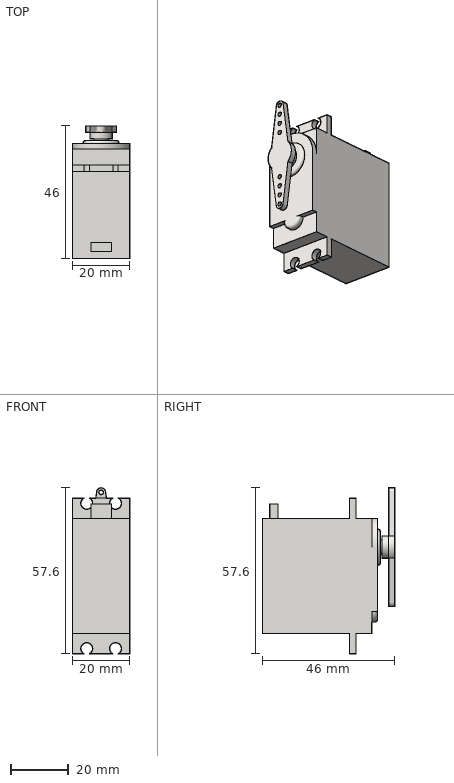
import cadquery as cq
import math


CASE_WIDTH = 20.0
CASE_DEPTH = 38.0
CASE_HEIGHT = 40.0

EAR_LENGTH = 7.0
EAR_BACK_Y = 30.2
EAR_THICKNESS = 2.3
EAR_HOLE_DIAMETER = 4.02
EAR_HOLE_SPACING = 10.0
EAR_HOLE_INSET = 1.8

CABLE_WIDTH = 7.2
CABLE_BACK_Y = 2.5
CABLE_THICKNESS = 3.0
CABLE_HEIGHT = 5.0

COVER_RADIUS = CASE_WIDTH / 2
COVER_THICKNESS = 2.0
COVER_BOTTOM_Z = 7.6
SHAFT_Z = CASE_HEIGHT - COVER_RADIUS

LOBE_DIAMETER = 7.6
LOBE_Z = 7.8
LOBE_FILLET = 1.0

COLLAR_DIAMETER = 12.6
COLLAR_HEIGHT = 1.0
SHAFT_DIAMETER = 5.0
SHAFT_GAP = 0.5

HUB_DIAMETER = 7.76
HUB_HEIGHT = 2.3
DISC_DIAMETER = 10.8
ARM_THICKNESS = 2.2
ARM_ROOT_HALF_WIDTH = 3.8
ARM_ROOT_Z = math.sqrt((DISC_DIAMETER / 2) ** 2 - ARM_ROOT_HALF_WIDTH**2)
TIP_RADIUS = 1.6
TIP_HOLE_OFFSET = 19.0
HORN_HOLE_DIAMETER = 1.5
HORN_HOLE_PITCH = 3.5
HORN_HOLES_PER_ARM = 4

COVER_FRONT_Y = CASE_DEPTH + COVER_THICKNESS
COLLAR_FRONT_Y = COVER_FRONT_Y + COLLAR_HEIGHT
SHAFT_END_Y = COLLAR_FRONT_Y + SHAFT_GAP
ARM_BACK_Y = SHAFT_END_Y + HUB_HEIGHT


def front_plane(y, z):
    """Sketch plane facing +Y, centred on x = 0; its local axes are -X and Z."""
    return cq.Workplane(cq.Plane(origin=(0, y, z), xDir=(-1, 0, 0), normal=(0, 1, 0)))


def disc(y, z, diameter, height):
    """Cylinder rising along +Y."""
    return front_plane(y, z).circle(diameter / 2).extrude(height)


def make_ears():
    """Plate forming both mounting ears, with four holes that break out of its ends."""
    plate_height = CASE_HEIGHT + 2 * EAR_LENGTH
    plane = front_plane(EAR_BACK_Y, CASE_HEIGHT / 2)
    plate = plane.rect(CASE_WIDTH, plate_height).extrude(EAR_THICKNESS)
    hole_spacing_z = plate_height - 2 * EAR_HOLE_INSET
    holes = (
        plane.rect(EAR_HOLE_SPACING, hole_spacing_z, forConstruction=True)
        .vertices()
        .circle(EAR_HOLE_DIAMETER / 2)
        .extrude(EAR_THICKNESS)
    )
    return plate.cut(holes)


def make_gear_cover():
    """Raised cover with a half-round top and a filleted lobe below its flat bottom."""
    bottom = COVER_BOTTOM_Z - SHAFT_Z
    cover = (
        front_plane(CASE_DEPTH, SHAFT_Z)
        .moveTo(-COVER_RADIUS, bottom)
        .lineTo(-COVER_RADIUS, 0)
        .threePointArc((0, COVER_RADIUS), (COVER_RADIUS, 0))
        .lineTo(COVER_RADIUS, bottom)
        .close()
        .extrude(COVER_THICKNESS)
    )
    lobe = disc(CASE_DEPTH, LOBE_Z, LOBE_DIAMETER, COVER_THICKNESS)
    lobe = lobe.faces(">Y").edges().fillet(LOBE_FILLET)
    return cover.union(lobe)


def make_servo():
    """Case with its ears, cable block, gear cover, bearing collar and output shaft."""
    case = cq.Workplane("XY").box(CASE_WIDTH, CASE_DEPTH, CASE_HEIGHT, centered=(True, False, False))
    cable = (
        cq.Workplane("XY")
        .box(CABLE_WIDTH, CABLE_THICKNESS, CABLE_HEIGHT, centered=(True, False, False))
        .translate((0, CABLE_BACK_Y, CASE_HEIGHT))
    )
    collar = disc(CASE_DEPTH, SHAFT_Z, COLLAR_DIAMETER, COVER_THICKNESS + COLLAR_HEIGHT)
    collar = collar.faces(">Y").edges().fillet(COLLAR_HEIGHT)
    shaft = disc(COLLAR_FRONT_Y, SHAFT_Z, SHAFT_DIAMETER, SHAFT_GAP)
    return case.union(make_ears()).union(cable).union(make_gear_cover()).union(collar).union(shaft)


def make_horn():
    """Two-armed horn whose hub rests on the end of the output shaft."""
    hub = disc(SHAFT_END_Y, SHAFT_Z, HUB_DIAMETER, HUB_HEIGHT)
    centre_disc = disc(ARM_BACK_Y, SHAFT_Z, DISC_DIAMETER, ARM_THICKNESS)
    horn = hub.union(centre_disc)
    plane = front_plane(ARM_BACK_Y, SHAFT_Z)
    for side in (1, -1):
        arm = (
            plane.moveTo(-ARM_ROOT_HALF_WIDTH, 0)
            .lineTo(-ARM_ROOT_HALF_WIDTH, side * ARM_ROOT_Z)
            .lineTo(-TIP_RADIUS, side * TIP_HOLE_OFFSET)
            .threePointArc(
                (0, side * (TIP_HOLE_OFFSET + TIP_RADIUS)),
                (TIP_RADIUS, side * TIP_HOLE_OFFSET),
            )
            .lineTo(ARM_ROOT_HALF_WIDTH, side * ARM_ROOT_Z)
            .lineTo(ARM_ROOT_HALF_WIDTH, 0)
            .close()
            .extrude(ARM_THICKNESS)
        )
        horn = horn.union(arm)
    for side in (1, -1):
        for index in range(HORN_HOLES_PER_ARM):
            hole_z = SHAFT_Z + side * (TIP_HOLE_OFFSET - index * HORN_HOLE_PITCH)
            horn = horn.cut(disc(ARM_BACK_Y, hole_z, HORN_HOLE_DIAMETER, ARM_THICKNESS))
    return horn


servo = make_servo()
horn = make_horn()

result = cq.Compound.makeCompound([servo.val(), horn.val()])